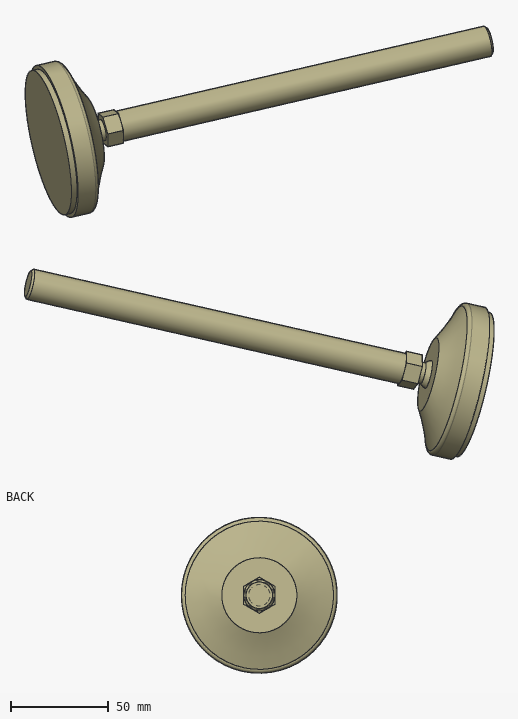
import cadquery as cq
import math

pad_diameter = 80.0
sole_diameter = 76.0
sole_thickness = 3.0
rim_top = 14.5
rim_round_radius = 2.0
pad_top_diameter = 38.5
pad_height = 24.0
flank_radius = 120.0

ball_diameter = 16.0
ball_center_height = 21.0
neck_diameter = 11.0

hex_bottom = 29.5
hex_top = 38.0
hex_across_flats = 16.0
hex_across_corners = hex_across_flats / math.cos(math.radians(30))
spindle_diameter = 16.0
spindle_chamfer = 1.2
overall_length = 238.0


def plane_at(height):
    """Plane across the axis, normal along +Y, with its local x along +Z."""
    return cq.Workplane(cq.Plane(origin=(0, height, 0), xDir=(0, 0, 1), normal=(0, 1, 0)))


def make_pad():
    """Pad with a stepped sole, a rounded rim and a hollow-curved flank."""
    section = (
        cq.Workplane("XY")
        .lineTo(sole_diameter / 2, 0)
        .lineTo(sole_diameter / 2, sole_thickness)
        .lineTo(pad_diameter / 2, sole_thickness)
        .lineTo(pad_diameter / 2, rim_top - rim_round_radius)
        .radiusArc((pad_diameter / 2 - rim_round_radius, rim_top), -rim_round_radius)
        .radiusArc((pad_top_diameter / 2, pad_height), flank_radius)
        .lineTo(0, pad_height)
        .close()
    )
    return section.revolve(360, (0, 0, 0), (0, 1, 0))


def make_ball_neck():
    """Ball seated in the pad, with the round neck rising to the hexagon."""
    ball = cq.Workplane("XY").sphere(ball_diameter / 2).translate((0, ball_center_height, 0))
    neck_length = hex_bottom - ball_center_height
    neck = plane_at(ball_center_height).circle(neck_diameter / 2).extrude(neck_length)
    return ball.union(neck)


def make_hexagon():
    """Wrench hexagon with flats facing -X and +X and corners on -Z and +Z."""
    return plane_at(hex_bottom).polygon(6, hex_across_corners).extrude(hex_top - hex_bottom)


def make_spindle():
    """Plain round spindle with a chamfered free end."""
    spindle = plane_at(hex_top).circle(spindle_diameter / 2).extrude(overall_length - hex_top)
    return spindle.faces(">Y").chamfer(spindle_chamfer)


result = make_pad().union(make_ball_neck()).union(make_hexagon()).union(make_spindle())